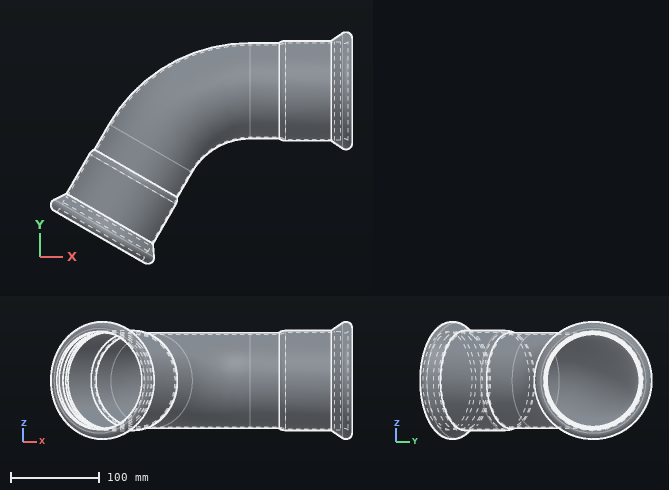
import cadquery as cq
import math

overall_length = 339.5
bend_angle = 60.0
leg_length = 115.5

pipe_outer = 108.0 / 2
pipe_bore = 104.0 / 2
socket_outer = 112.7 / 2
socket_bore = 108.5 / 2
mouth_bore = 110.7 / 2
rim_outer = 132.5 / 2
rim_round = 7.0
bead_height = 1.7

bead_start = 5.0
bead_end = 13.5
flare_end = 23.8
mouth_bore_end = 20.5
socket_bore_start = 23.5
socket_end = 75.5
pipe_start = 82.5

rim_center_radius = rim_outer - rim_round
bend_sin = math.sin(math.radians(bend_angle))
bend_cos = math.cos(math.radians(bend_angle))
far_rim_reach = (leg_length - rim_round) * bend_cos + rim_center_radius * bend_sin + rim_round
bend_radius = (overall_length - leg_length - far_rim_reach) / bend_sin


def at(depth, radius):
    """Profile point on the leg along +X, given its depth behind the mouth."""
    return (leg_length - depth, radius)


def on_rim(angle):
    """Point on the rim rounding, with the angle measured from the crest towards the bend."""
    depth = rim_round * (1 + math.sin(angle))
    radius = rim_center_radius + rim_round * math.cos(angle)
    return at(depth, radius)


flare_run = flare_end - rim_round
flare_rise = rim_center_radius - socket_outer
center_distance = math.hypot(flare_run, flare_rise)
flare_tangent = (math.pi / 2 - math.atan2(-flare_rise, flare_run)
                 - math.acos(rim_round / center_distance))


def shoulder_middle():
    """Middle of the convex shoulder arc, which leaves the socket wall tangentially."""
    width = pipe_start - socket_end
    drop = socket_outer - pipe_outer
    arc_radius = (width**2 + drop**2) / (2 * drop)
    half_angle = math.asin(width / arc_radius) / 2
    depth = socket_end + arc_radius * math.sin(half_angle)
    radius = socket_outer - arc_radius * (1 - math.cos(half_angle))
    return at(depth, radius)


def make_leg():
    bead_crest = at((bead_start + bead_end) / 2, mouth_bore - bead_height)
    profile = (
        cq.Workplane("XY")
        .moveTo(0, pipe_bore)
        .lineTo(0, pipe_outer)
        .lineTo(*at(pipe_start, pipe_outer))
        .threePointArc(shoulder_middle(), at(socket_end, socket_outer))
        .lineTo(*at(flare_end, socket_outer))
        .lineTo(*on_rim(flare_tangent))
        .threePointArc(on_rim(0), at(0, rim_center_radius))
        .lineTo(*at(0, mouth_bore))
        .lineTo(*at(bead_start, mouth_bore))
        .threePointArc(bead_crest, at(bead_end, mouth_bore))
        .lineTo(*at(mouth_bore_end, mouth_bore))
        .lineTo(*at(socket_bore_start, socket_bore))
        .lineTo(*at(socket_end, socket_bore))
        .lineTo(*at(pipe_start, pipe_bore))
        .close()
    )
    return profile.revolve(360, (0, 0, 0), (1, 0, 0))


def make_bend():
    section = cq.Workplane("YZ").circle(pipe_outer).circle(pipe_bore)
    return section.revolve(bend_angle, (-bend_radius, 0, 0), (-bend_radius, 1, 0))


bend = make_bend()
first_leg = make_leg()
second_leg = first_leg.mirror("YZ").rotate((0, -bend_radius, 0), (0, -bend_radius, 1), bend_angle)

result = bend.union(first_leg).union(second_leg)